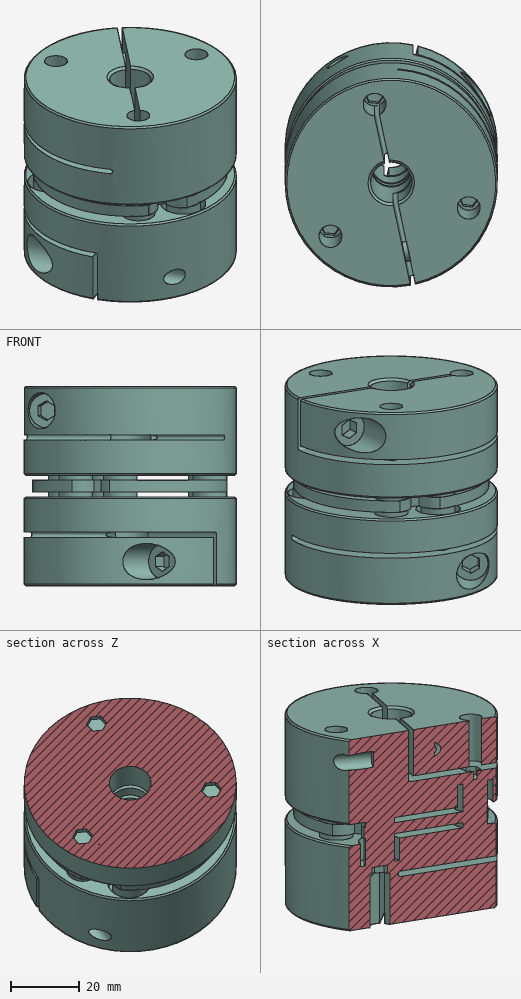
import cadquery as cq
import math


outer_radius = 31.0
total_height = 58.3
disc_thickness = 3.5
gap = 1.4
hub_top = total_height / 2
hub_bottom = disc_thickness / 2 + gap

bore_radius = 6.0
edge_chamfer = 0.5
bore_chamfer = 0.75

slit_width = 1.5
flap_height = 14.2
slit_floor = hub_top - flap_height - slit_width
relief_angle = 19.0

screw_circle = 23.8
screw_count = 3
access_diameter = 6.65
socket_flats = 4.95
socket_depth = 2.5
pocket_diameter = 13.0
pocket_depth = 6.8

clamp_offset = 22.15
clamp_height = hub_top - flap_height / 2
clamp_shank = 5.8
clamp_recess_diameter = 10.55
clamp_head_diameter = 10.0
clamp_head_length = 6.0
clamp_socket_depth = 4.0
clamp_head_face = 13.8
clamp_tail_diameter = 4.85
clamp_tail_start = 12.4

disc_radius = 28.5
spacer_diameter = 9.85
notch_width = 12.15
notch_floor = 22.9
notch_lobe_radius = 5.9
notch_lobe_distance = 22.0
notch_lobe_offset = 7.05

top_hub_angle = -12.0
bottom_hub_angle = 143.0
mirror_angle = (top_hub_angle + bottom_hub_angle) / 2


def hex_prism(plane, flats, height):
    """Hexagon with two corners on the plane's local X, extruded along its normal."""
    return plane.polygon(6, flats / math.cos(math.pi / 6)).extrude(height)


def screw_positions(first_angle):
    """Centres of the screws, evenly spaced from the first angle."""
    return [
        (screw_circle * math.cos(angle), screw_circle * math.sin(angle))
        for angle in (math.radians(first_angle + i * 360 / screw_count) for i in range(screw_count))
    ]


def hub_body():
    """Chamfered cylinder with a bore, countersunk on the outer face."""
    hub_height = hub_top - hub_bottom
    base = cq.Workplane("XY").workplane(offset=hub_bottom)
    body = base.circle(outer_radius).extrude(hub_height)
    body = body.faces("<Z or >Z").edges().chamfer(edge_chamfer)
    bore = base.circle(bore_radius).extrude(hub_height)
    countersink = cq.Solid.makeCone(
        bore_radius, bore_radius + bore_chamfer, bore_chamfer, pnt=cq.Vector(0, 0, hub_top - bore_chamfer)
    )
    return body.cut(bore).cut(cq.Workplane(countersink))


def upright_slit():
    """Slit from the rim through the bore to the first access hole, rounded at its blind corner."""
    inner_end = screw_circle - access_diameter / 2 + slit_width / 2
    length = outer_radius + slit_width + inner_end
    slit = cq.Workplane("XY").box(length, slit_width, flap_height + slit_width, centered=(False, True, False))
    slit = slit.edges("|X and >Y and <Z").fillet(slit_width / 2)
    return slit.translate((inner_end - length, 0, slit_floor))


def level_slit():
    """Slit under the flap; its full-round end runs obliquely from the bore to the rim."""
    reach = 2 * outer_radius
    round_radius = slit_width / 2
    slope = math.radians(relief_angle)
    round_start = cq.Vector(bore_radius, -round_radius, slit_floor + round_radius)
    round_direction = cq.Vector(math.cos(slope), -math.sin(slope), 0)
    round_end = round_start + round_direction * reach
    outline = [
        (-reach, 0),
        (0, 0),
        (round_start.x, round_start.y),
        (round_end.x, round_end.y),
        (round_end.x, -reach),
        (-reach, -reach),
    ]
    slit = cq.Workplane("XY").workplane(offset=slit_floor).polyline(outline).close().extrude(slit_width)
    return slit.union(cq.Workplane(cq.Solid.makeCylinder(round_radius, reach, round_start, round_direction)))


def access_holes():
    """Holes down to the heads of the disc screws, with their hexagon sockets."""
    centres = screw_positions(0)
    depth = hub_top - slit_floor
    floor = cq.Workplane("XY").workplane(offset=slit_floor)
    holes = floor.pushPoints(centres).circle(access_diameter / 2).extrude(depth)
    for x, y in centres:
        socket = hex_prism(cq.Workplane("XY"), socket_flats, socket_depth)
        socket = socket.rotate((0, 0, 0), (0, 0, 1), -top_hub_angle)
        holes = holes.union(socket.translate((x, y, slit_floor - socket_depth)))
    return holes


def across_slit(y):
    """Workplane on the clamp screw's axis at the given Y, facing -Y, with its local X along Z."""
    return cq.Workplane(cq.Plane((-clamp_offset, y, clamp_height), xDir=(0, 0, 1), normal=(0, -1, 0)))


def clamp_screw_recesses():
    """Head recess and hexagon socket on the flap side, tail hole on the other side."""
    seat = -clamp_head_face + clamp_head_length
    recess = across_slit(seat).circle(clamp_recess_diameter / 2).extrude(outer_radius)
    head = across_slit(seat).circle(clamp_head_diameter / 2).extrude(clamp_head_length)
    socket = hex_prism(across_slit(-clamp_head_face + clamp_socket_depth), socket_flats, clamp_socket_depth)
    tail = across_slit(clamp_tail_start).circle(clamp_tail_diameter / 2).extrude(-outer_radius)
    return recess.cut(head).union(socket).union(tail)


def spacer_pockets():
    """Ring-shaped pockets in the inner face, around the spacers of the hub's own screws."""
    return (
        cq.Workplane("XY")
        .workplane(offset=hub_bottom)
        .pushPoints(screw_positions(0))
        .circle(pocket_diameter / 2)
        .circle(spacer_diameter / 2)
        .extrude(pocket_depth)
    )


def hub():
    """Complete upper hub; the clamp screw's shank bridges the upright slit."""
    shank = across_slit(slit_width).circle(clamp_shank / 2).extrude(2 * slit_width)
    body = hub_body().cut(upright_slit()).cut(level_slit()).union(shank)
    return body.cut(access_holes()).cut(clamp_screw_recesses()).cut(spacer_pockets())


def rim_notch():
    """Notch on the +X rim: flat floor, with both side walls bulging inward around the spacers."""
    depth = outer_radius - notch_floor
    block = cq.Workplane("XY").box(depth, notch_width, disc_thickness, centered=(False, True, True))
    lobes = (
        cq.Workplane("XY")
        .pushPoints([(notch_lobe_distance, -notch_lobe_offset), (notch_lobe_distance, notch_lobe_offset)])
        .circle(notch_lobe_radius)
        .extrude(disc_thickness, both=True)
    )
    return block.translate((notch_floor, 0, 0)).cut(lobes)


def centre_disc():
    """Disc with a rim notch midway between each close pair of spacers."""
    disc = cq.Workplane("XY").circle(disc_radius).circle(bore_radius).extrude(disc_thickness / 2, both=True)
    for i in range(screw_count):
        angle = mirror_angle + (i + 0.5) * 360 / screw_count
        disc = disc.cut(rim_notch().rotate((0, 0, 0), (0, 0, 1), angle))
    return disc


def spacers():
    """Short posts filling the gaps on both sides of the disc."""
    centres = screw_positions(top_hub_angle) + screw_positions(bottom_hub_angle)
    upper = (
        cq.Workplane("XY")
        .workplane(offset=disc_thickness / 2)
        .pushPoints(centres)
        .circle(spacer_diameter / 2)
        .extrude(gap)
    )
    return upper.union(upper.mirror("XY"))


top_hub = hub().rotate((0, 0, 0), (0, 0, 1), top_hub_angle)
flip_axis = (math.cos(math.radians(mirror_angle)), math.sin(math.radians(mirror_angle)), 0)
bottom_hub = top_hub.rotate((0, 0, 0), flip_axis, 180)

result = centre_disc().union(spacers()).union(top_hub).union(bottom_hub)